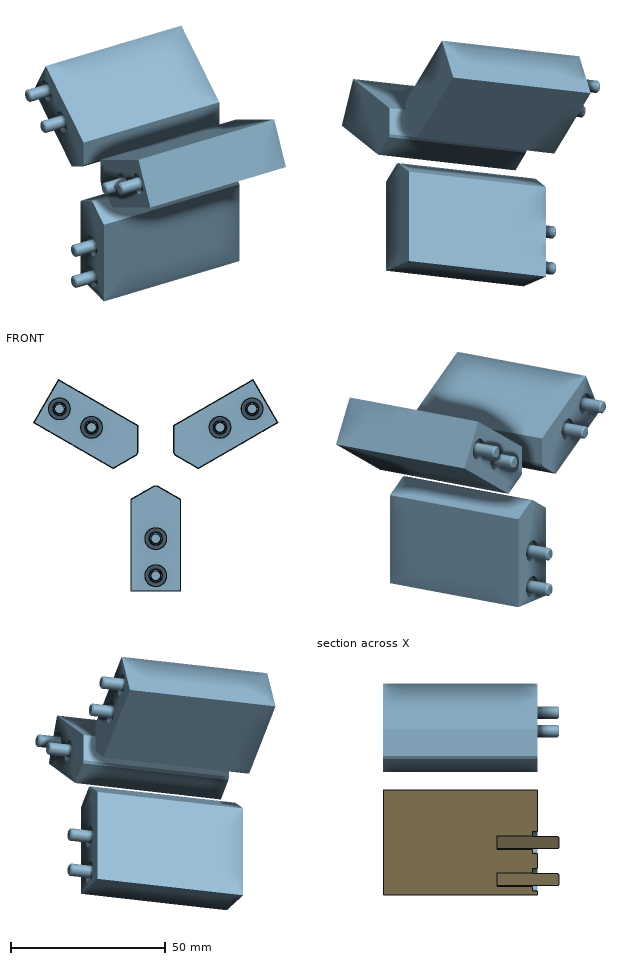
import cadquery as cq
import math

jaw_count = 3
jaw_pitch_angle = 360 / jaw_count
pins_per_jaw = 2

jaw_width = 16.0
jaw_depth = 50.0
jaw_outer_radius = 41.0
nose_face_radius = 5.8
nose_slope_angle = 90 - jaw_pitch_angle / 2
nose_flat_width = 1.0

pin_diameter = 4.0
pin_protrusion = 6.95
pin_tip_chamfer = 0.435
pin_pitch = 12.0
pin_outer_margin = 5.0

hole_diameter = 4.3
hole_depth = 13.0
recess_diameter = 7.0
recess_depth = 1.6

total_depth = jaw_depth + pin_protrusion
back_y = total_depth / 2
front_y = back_y - jaw_depth
hole_floor_y = front_y + hole_depth

outer_pin_z = pin_outer_margin - jaw_outer_radius
pin_axis_heights = [outer_pin_z + i * pin_pitch for i in range(pins_per_jaw)]


def make_cylinder(diameter, start_y, end_y, z):
    """Cylinder along Y, from start_y back to end_y, on the axis at height z."""
    base = cq.Workplane("XZ", origin=(0, end_y, z)).circle(diameter / 2)
    return base.extrude(end_y - start_y)


def make_jaw():
    """Jaw below the axis, its nose pointing up at the axis."""
    half_width = jaw_width / 2
    half_flat = nose_flat_width / 2
    slope = math.radians(nose_slope_angle)
    ridge_z = -nose_face_radius / math.cos(slope)
    flat_z = ridge_z - half_flat * math.tan(slope)
    shoulder_z = ridge_z - half_width * math.tan(slope)
    outline = [
        (-half_width, -jaw_outer_radius),
        (half_width, -jaw_outer_radius),
        (half_width, shoulder_z),
        (half_flat, flat_z),
        (-half_flat, flat_z),
        (-half_width, shoulder_z),
    ]
    jaw = cq.Workplane("XZ", origin=(0, back_y, 0)).polyline(outline).close().extrude(jaw_depth)
    for z in pin_axis_heights:
        jaw = jaw.cut(make_cylinder(hole_diameter, front_y, hole_floor_y, z))
        jaw = jaw.cut(make_cylinder(recess_diameter, front_y, front_y + recess_depth, z))
    return jaw


def make_pin(z):
    """Pin standing on the floor of its hole, with a chamfered tip."""
    pin = make_cylinder(pin_diameter, front_y - pin_protrusion, hole_floor_y, z)
    return pin.faces("<Y").chamfer(pin_tip_chamfer)


def place_at_jaw(body, jaw_index):
    """Turn a body from the bottom position to the given jaw position."""
    return body.rotate((0, 0, 0), (0, 1, 0), jaw_index * jaw_pitch_angle)


jaws = []
pins = []
for jaw_index in range(jaw_count):
    jaws.append(place_at_jaw(make_jaw(), jaw_index).val())
    for z in pin_axis_heights:
        pins.append(place_at_jaw(make_pin(z), jaw_index).val())

result = cq.Compound.makeCompound([*jaws, *pins])